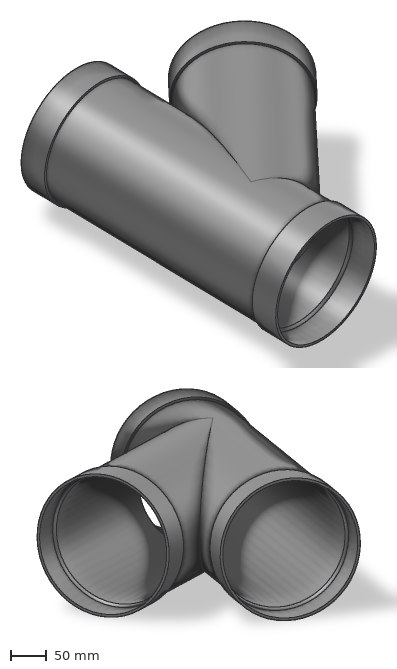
import cadquery as cq
import math

run_length = 489.0
socket_outer_diameter = 208.0
pipe_outer_diameter = 200.0
pipe_bore_diameter = 192.0
socket_bore_diameter = pipe_outer_diameter
collar_length = 45.0
wall = (pipe_outer_diameter - pipe_bore_diameter) / 2
branch_angle = 45.0
overall_width = 421.0
junction_x = 100.2

socket_radius = socket_outer_diameter / 2
angle = math.radians(branch_angle)
mouth_y = overall_width - socket_radius - socket_radius * math.cos(angle)
branch_length = mouth_y / math.sin(angle)

run_direction = cq.Vector(1, 0, 0)
branch_direction = cq.Vector(-math.cos(angle), math.sin(angle), 0)
run_start = cq.Vector(-run_length / 2, 0, 0)
run_end = cq.Vector(run_length / 2, 0, 0)
junction = cq.Vector(junction_x, 0, 0)
mouth = junction + branch_direction * branch_length


def rod(start, direction, length, diameter):
    """Solid cylinder from a start point along a direction."""
    return cq.Workplane(cq.Plane(start, (0, 0, 1), direction)).circle(diameter / 2).extrude(length)


pipes = [
    (run_start, run_direction, run_length),
    (junction, branch_direction, branch_length),
]
socket_mouths = [
    (run_start, run_direction),
    (run_end, -run_direction),
    (mouth, -branch_direction),
]

result = rod(*pipes[0], pipe_outer_diameter).union(rod(*pipes[1], pipe_outer_diameter))
for point, inward in socket_mouths:
    result = result.union(rod(point, inward, collar_length, socket_outer_diameter))

for start, direction, length in pipes:
    result = result.cut(rod(start, direction, length, pipe_bore_diameter))
for point, inward in socket_mouths:
    recess = rod(point, inward, collar_length, socket_bore_diameter)
    recess = recess.faces(cq.selectors.DirectionMinMaxSelector(inward)).chamfer(wall)
    result = result.cut(recess)